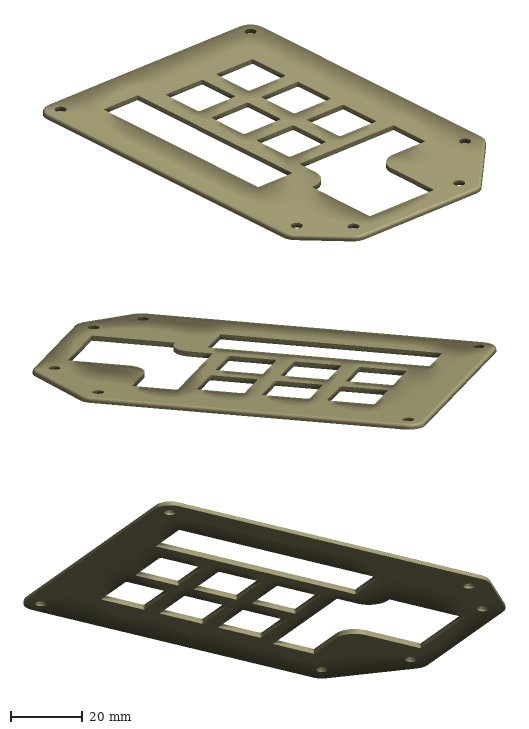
import cadquery as cq

LENGTH = 120.0
WIDTH = 82.0
THICKNESS = 1.5
UPPER_CORNER_CUT = 21.5
LOWER_CORNER_CUT = 14.25
CORNER_RADIUS = 4.9
TOP_EDGE_ROUND = 0.9

HOLE_DIAMETER = 3.4
CORNER_HOLE_INSET = 4.95
CUT_HOLE_INSET = 5.9
UPPER_CUT_HOLE_X = 96.0
UPPER_CUT_HOLE_Y = 57.5
LOWER_CUT_HOLE_X = 103.0
LOWER_CUT_HOLE_Y = 17.4
HOLE_CENTERS = [
    (CORNER_HOLE_INSET, CORNER_HOLE_INSET),
    (CORNER_HOLE_INSET, WIDTH - CORNER_HOLE_INSET),
    (UPPER_CUT_HOLE_X, WIDTH - CUT_HOLE_INSET),
    (LENGTH - CUT_HOLE_INSET, UPPER_CUT_HOLE_Y),
    (LENGTH - CUT_HOLE_INSET, LOWER_CUT_HOLE_Y),
    (LOWER_CUT_HOLE_X, CUT_HOLE_INSET),
]

KEY_SIZE = 14.0
KEY_CORNER_RADIUS = 0.5
KEY_PITCH = 19.05
KEY_COLUMNS = 3
KEY_ROWS = 2
FIRST_KEY_X = 25.0
FIRST_KEY_Y = 39.95

DISPLAY_LENGTH = 65.0
DISPLAY_WIDTH = 13.0
DISPLAY_LEFT = 13.05
DISPLAY_BOTTOM = 13.9

STEP_LEFT = 75.1
UPPER_STEP_X = 88.5
LOWER_STEP_X = 88.1
STEP_RIGHT = 112.5
TALL_BAY_TOP = 67.9
TALL_BAY_BOTTOM = 32.1
WIDE_BAY_TOP = 49.5
WIDE_BAY_BOTTOM = 25.1
UPPER_STEP_RADIUS = 6.1
LOWER_STEP_RADIUS = 6.3


def make_plate():
    """Rectangle with two 45 degree corner cuts, rounded corners and a rounded top edge."""
    outline = [
        (0, 0),
        (LENGTH - LOWER_CORNER_CUT, 0),
        (LENGTH, LOWER_CORNER_CUT),
        (LENGTH, WIDTH - UPPER_CORNER_CUT),
        (LENGTH - UPPER_CORNER_CUT, WIDTH),
        (0, WIDTH),
    ]
    plate = cq.Workplane("XY").polyline(outline).close().extrude(THICKNESS)
    plate = plate.edges("|Z").fillet(CORNER_RADIUS)
    return plate.faces(">Z").edges().fillet(TOP_EDGE_ROUND)


def make_screw_holes():
    return cq.Workplane("XY").pushPoints(HOLE_CENTERS).circle(HOLE_DIAMETER / 2).extrude(THICKNESS)


def make_key_openings():
    centers = [
        (FIRST_KEY_X + column * KEY_PITCH, FIRST_KEY_Y + row * KEY_PITCH)
        for column in range(KEY_COLUMNS)
        for row in range(KEY_ROWS)
    ]
    keys = cq.Workplane("XY").pushPoints(centers).rect(KEY_SIZE, KEY_SIZE).extrude(THICKNESS)
    return keys.edges("|Z").fillet(KEY_CORNER_RADIUS)


def make_display_opening():
    display = cq.Workplane("XY").rect(DISPLAY_LENGTH, DISPLAY_WIDTH, centered=False).extrude(THICKNESS)
    return display.translate((DISPLAY_LEFT, DISPLAY_BOTTOM, 0))


def make_stepped_opening():
    """Outline of eight straight sides whose two inward steps are rounded by arcs."""
    return (
        cq.Workplane("XY")
        .moveTo(STEP_LEFT, TALL_BAY_BOTTOM)
        .lineTo(STEP_LEFT, TALL_BAY_TOP)
        .lineTo(UPPER_STEP_X, TALL_BAY_TOP)
        .lineTo(UPPER_STEP_X, WIDE_BAY_TOP + UPPER_STEP_RADIUS)
        .radiusArc((UPPER_STEP_X + UPPER_STEP_RADIUS, WIDE_BAY_TOP), -UPPER_STEP_RADIUS)
        .lineTo(STEP_RIGHT, WIDE_BAY_TOP)
        .lineTo(STEP_RIGHT, WIDE_BAY_BOTTOM)
        .lineTo(LOWER_STEP_X, WIDE_BAY_BOTTOM)
        .lineTo(LOWER_STEP_X, TALL_BAY_BOTTOM - LOWER_STEP_RADIUS)
        .radiusArc((LOWER_STEP_X - LOWER_STEP_RADIUS, TALL_BAY_BOTTOM), -LOWER_STEP_RADIUS)
        .close()
        .extrude(THICKNESS)
    )


result = (
    make_plate()
    .cut(make_screw_holes())
    .cut(make_key_openings())
    .cut(make_display_opening())
    .cut(make_stepped_opening())
)